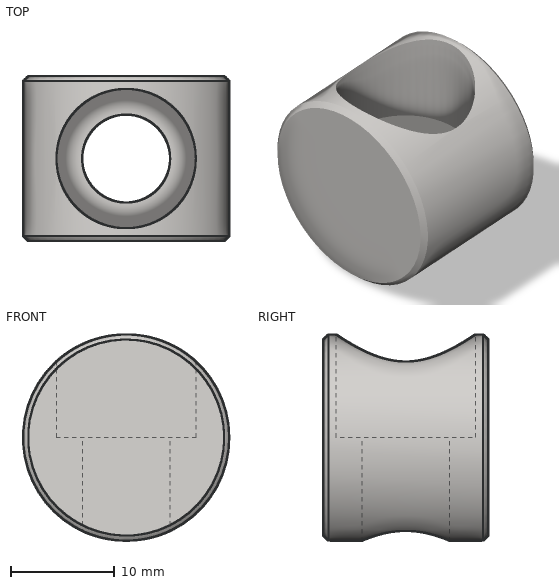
import cadquery as cq

barrel_diameter = 20.0
barrel_length = 16.0
edge_chamfer = 0.5
hole_diameter = 8.5
counterbore_diameter = 13.5
counterbore_floor_z = 0.0

barrel_radius = barrel_diameter / 2


def make_barrel():
    """Cylinder centred on the origin, chamfered at both end faces."""
    return (
        cq.Workplane("XZ", origin=(0, barrel_length / 2, 0))
        .circle(barrel_radius)
        .extrude(barrel_length)
        .faces("<Y or >Y")
        .chamfer(edge_chamfer)
    )


def make_bolt_hole():
    """Through hole along Z with a flat-bottomed counterbore open at the top."""
    through_hole = (
        cq.Workplane("XY", origin=(0, 0, -barrel_radius))
        .circle(hole_diameter / 2)
        .extrude(barrel_diameter)
    )
    counterbore = (
        cq.Workplane("XY", origin=(0, 0, counterbore_floor_z))
        .circle(counterbore_diameter / 2)
        .extrude(barrel_radius - counterbore_floor_z)
    )
    return through_hole.union(counterbore)


result = make_barrel().cut(make_bolt_hole())